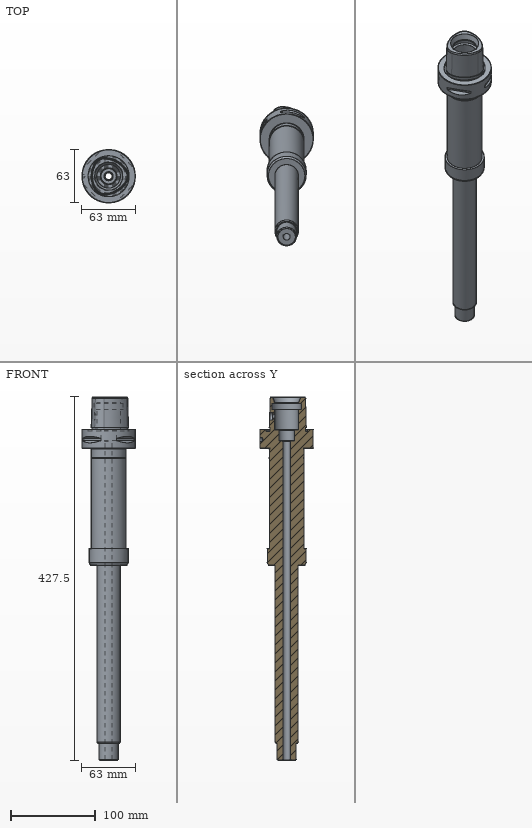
import cadquery as cq
import math

TOTAL_HEIGHT = 427.5
COUPLING_LENGTH = 38.0
FLANGE_HEIGHT = 22.2
BODY_GROOVE_BELOW_FLANGE = 11.5
COLLAR_TOP = 249.2
COLLAR_HEIGHT = 19.5
TIP_LENGTH = 20.0

FLANGE_TOP = TOTAL_HEIGHT - COUPLING_LENGTH
FLANGE_BOTTOM = FLANGE_TOP - FLANGE_HEIGHT
COLLAR_BOTTOM = COLLAR_TOP - COLLAR_HEIGHT

FLANGE_DIAMETER = 63.0
BODY_DIAMETER = 41.0
COLLAR_DIAMETER = 46.0
BAR_DIAMETER = 28.0
TIP_DIAMETER = 23.0

FLANGE_CHAMFER = 0.5
COLLAR_CHAMFER_HEIGHT = 3.0
COLLAR_CHAMFER_DEPTH = 1.5
BAR_CHAMFER = 1.3
TIP_CHAMFER = 1.3
BODY_CHAMFER = 1.0
COUPLING_CHAMFER_HEIGHT = 1.5
COUPLING_CHAMFER_DEPTH = 1.0
NECK_HEIGHT = 2.0
NECK_DEPTH = 1.0
BODY_GROOVE_WIDTH = 1.3
BODY_GROOVE_DEPTH = 0.2

COUPLING_WIDTH = 44.0
COUPLING_MEAN_RADIUS = COUPLING_WIDTH / 2
LOBE_CENTER_RADIUS = 10.5
TAPER_RATIO = 1 / 20
COUPLING_TAPER = math.degrees(math.atan(TAPER_RATIO / 2))

RECESS_DIAMETER = 48.5
RECESS_DEPTH = 2.0

MOUTH_DIAMETER = 33.0
MOUTH_DEPTH = 6.5
MAIN_BORE_DIAMETER = 28.0
MAIN_BORE_DEPTH = 38.5
CLAMP_GROOVE_DIAMETER = 34.0
CLAMP_GROOVE_START = 7.5
CLAMP_GROOVE_END = 14.5
POCKET_MOUTH_DIAMETER = 19.5
POCKET_DIAMETER = 18.0
POCKET_DEPTH = 51.5
COOLANT_MOUTH_DIAMETER = 10.5
COOLANT_DIAMETER = 8.0

COUPLING_HOLE_DIAMETER = 8.5
COUPLING_HOLE_HEIGHT = 405.0
COUPLING_HOLE_END_RADIUS = 16.5
FLANGE_HOLE_DIAMETER = 4.0
FLANGE_HOLE_END_RADIUS = 29.0
DRILL_POINT_ANGLE = 118

SLOT_COUNT = 4
SLOT_FLOOR_DISTANCE = 28.0
SLOT_FLOOR_HEIGHT = 2.5
SLOT_MOUTH_HEIGHT = 7.5
SLOT_ABOVE_FLANGE_BOTTOM = 10.3
SLOT_HEIGHT = FLANGE_BOTTOM + SLOT_ABOVE_FLANGE_BOTTOM


def cylinder(diameter, bottom, top):
    return cq.Workplane("XY").workplane(offset=bottom).circle(diameter / 2).extrude(top - bottom)


def polar(radius, degrees):
    angle = math.radians(degrees)
    return radius * math.cos(angle), radius * math.sin(angle)


def lobed_outline(mean_radius, bottom):
    """Constant-width outline: three lobe arcs and three flatter arcs, all tangent."""
    half_side = LOBE_CENTER_RADIUS * math.sqrt(3) / 2
    lobe_radius = mean_radius - half_side
    flat_radius = mean_radius + half_side

    def arc_point(center_angle, radius, normal_angle):
        cx, cy = polar(LOBE_CENTER_RADIUS, center_angle)
        dx, dy = polar(radius, normal_angle)
        return cx + dx, cy + dy

    outline = cq.Workplane("XY").workplane(offset=bottom).moveTo(*arc_point(0, lobe_radius, -30))
    for lobe in (0, 120, 240):
        flat = lobe + 60
        outline = outline.threePointArc(
            arc_point(lobe, lobe_radius, lobe), arc_point(lobe, lobe_radius, lobe + 30)
        )
        outline = outline.threePointArc(
            arc_point(flat + 180, flat_radius, flat), arc_point(flat + 180, flat_radius, flat + 30)
        )
    return outline.close()


def outer_shape():
    """Turned sections stacked from the tip upwards, with the lobed coupling on top."""
    coupling_bottom = FLANGE_TOP + NECK_HEIGHT
    tip = cylinder(TIP_DIAMETER, 0, TIP_LENGTH).faces("<Z").chamfer(TIP_CHAMFER)
    bar = cylinder(BAR_DIAMETER, TIP_LENGTH, COLLAR_BOTTOM).faces("<Z").chamfer(BAR_CHAMFER)
    collar = cylinder(COLLAR_DIAMETER, COLLAR_BOTTOM, COLLAR_TOP).faces("<Z").chamfer(
        COLLAR_CHAMFER_HEIGHT, COLLAR_CHAMFER_DEPTH
    )
    body = cylinder(BODY_DIAMETER, COLLAR_TOP, FLANGE_BOTTOM).faces(">Z").chamfer(BODY_CHAMFER)
    flange = cylinder(FLANGE_DIAMETER, FLANGE_BOTTOM, FLANGE_TOP).edges().chamfer(FLANGE_CHAMFER)
    flange = flange.cut(cylinder(RECESS_DIAMETER, FLANGE_TOP - RECESS_DEPTH, FLANGE_TOP))
    neck = lobed_outline(COUPLING_MEAN_RADIUS - NECK_DEPTH, FLANGE_TOP - RECESS_DEPTH).extrude(
        RECESS_DEPTH + NECK_HEIGHT
    )
    coupling = lobed_outline(COUPLING_MEAN_RADIUS, coupling_bottom).extrude(
        TOTAL_HEIGHT - coupling_bottom, taper=COUPLING_TAPER
    )
    coupling = coupling.faces(">Z").chamfer(COUPLING_CHAMFER_HEIGHT, COUPLING_CHAMFER_DEPTH)
    return tip.union(bar).union(collar).union(body).union(flange).union(neck).union(coupling)


def body_groove():
    """Ring that cuts the shallow groove around the body below the flange."""
    top = FLANGE_BOTTOM - BODY_GROOVE_BELOW_FLANGE + BODY_GROOVE_WIDTH / 2
    bottom = top - BODY_GROOVE_WIDTH
    floor = cylinder(BODY_DIAMETER - 2 * BODY_GROOVE_DEPTH, bottom, top)
    return cylinder(FLANGE_DIAMETER, bottom, top).cut(floor)


def bore():
    """Solid of the stepped bore, turned from (diameter, depth below the top face) steps."""
    pocket_chamfer = (POCKET_MOUTH_DIAMETER - POCKET_DIAMETER) / 2
    coolant_chamfer = (COOLANT_MOUTH_DIAMETER - COOLANT_DIAMETER) / 2
    steps = [
        (0, 0),
        (MOUTH_DIAMETER, 0),
        (MAIN_BORE_DIAMETER, MOUTH_DEPTH),
        (MAIN_BORE_DIAMETER, CLAMP_GROOVE_START),
        (CLAMP_GROOVE_DIAMETER, CLAMP_GROOVE_START),
        (CLAMP_GROOVE_DIAMETER, CLAMP_GROOVE_END),
        (MAIN_BORE_DIAMETER, CLAMP_GROOVE_END),
        (MAIN_BORE_DIAMETER, MAIN_BORE_DEPTH),
        (POCKET_MOUTH_DIAMETER, MAIN_BORE_DEPTH),
        (POCKET_DIAMETER, MAIN_BORE_DEPTH + pocket_chamfer),
        (POCKET_DIAMETER, POCKET_DEPTH),
        (COOLANT_MOUTH_DIAMETER, POCKET_DEPTH),
        (COOLANT_DIAMETER, POCKET_DEPTH + coolant_chamfer),
        (COOLANT_DIAMETER, TOTAL_HEIGHT),
        (0, TOTAL_HEIGHT),
    ]
    profile = [(diameter / 2, TOTAL_HEIGHT - depth) for diameter, depth in steps]
    return cq.Workplane("XZ").polyline(profile).close().revolve(360, (0, 0), (0, 1))


def radial_hole(diameter, height, end_radius):
    """Drilled blind hole entering from the -X side, with a pointed end."""
    radius = diameter / 2
    end = -end_radius
    point = end + radius / math.tan(math.radians(DRILL_POINT_ANGLE / 2))
    entry = -FLANGE_DIAMETER / 2
    profile = [(entry, height), (entry, height + radius), (end, height + radius), (point, height)]
    return cq.Workplane("XZ").polyline(profile).close().revolve(360, (entry, height), (point, height))


def gripper_slots():
    """Straight trapezoidal slots, evenly spaced and midway between the X and Y axes."""
    flange_radius = FLANGE_DIAMETER / 2
    floor_half = SLOT_FLOOR_HEIGHT / 2
    mouth_half = SLOT_MOUTH_HEIGHT / 2
    profile = [
        (SLOT_FLOOR_DISTANCE, SLOT_HEIGHT - floor_half),
        (flange_radius, SLOT_HEIGHT - mouth_half),
        (flange_radius, SLOT_HEIGHT + mouth_half),
        (SLOT_FLOOR_DISTANCE, SLOT_HEIGHT + floor_half),
    ]
    slot = cq.Workplane("XZ").polyline(profile).close().extrude(flange_radius, both=True)
    slots = cq.Workplane("XY")
    for index in range(SLOT_COUNT):
        angle = (index + 0.5) * 360 / SLOT_COUNT
        slots = slots.add(slot.rotate((0, 0, 0), (0, 0, 1), angle))
    return slots.combine()


coupling_hole = radial_hole(COUPLING_HOLE_DIAMETER, COUPLING_HOLE_HEIGHT, COUPLING_HOLE_END_RADIUS)
flange_hole = radial_hole(FLANGE_HOLE_DIAMETER, SLOT_HEIGHT, FLANGE_HOLE_END_RADIUS)

result = outer_shape().cut(body_groove()).cut(bore()).cut(gripper_slots())
result = result.cut(coupling_hole).cut(flange_hole)